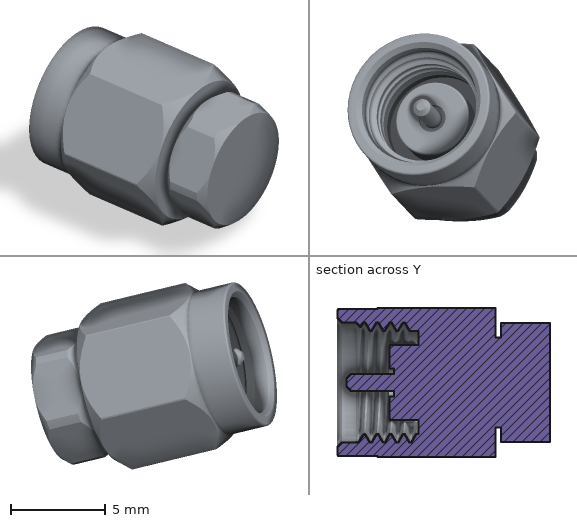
import cadquery as cq
import math

overall_length = 11.3
big_hex_start = 2.12
big_hex_end = 8.41
small_hex_start = 8.67

collar_radius = 3.92
collar_edge_radius = 0.11
big_hex_flats = 7.94
big_hex_corner_radius = 9.12 / 2
small_hex_flats = 6.36
small_hex_corner_radius = 3.54
neck_radius = 2.42
hex_sides = 6
hex_half_sector = 180 / hex_sides
hex_bevel_angle = 40.0
big_hex_bevel_start_radius = 3.93
small_hex_bevel_start_radius = small_hex_flats / 2

mouth_radius = 3.42
bore_radius = 3.18
thread_root_radius = 3.16
thread_crest_radius = 2.72
mouth_bevel_length = mouth_radius - bore_radius
thread_bevel_start = 1.0
thread_bevel_end = thread_bevel_start + bore_radius - thread_crest_radius
socket_floor = 4.29

thread_pitch = 0.7
thread_half_angle = 30.0
thread_crest_flat = 0.09
thread_start = 0.56
thread_start_angle = 97.0
thread_length = 3.39
thread_overlap = 0.01

boss_radius = 2.01
boss_edge_radius = 0.1
boss_face = 2.77
pin_hole_radius = 0.73
pin_hole_depth = 0.23
pin_radius = 0.47
pin_tip_radius = 0.23
pin_tip = 0.47
pin_tip_length = 0.25


def revolve_profile(points):
    """Turn an (axial, radial) outline about the X axis."""
    return cq.Workplane("XY").polyline(points).close().revolve(360, (0, 0, 0), (1, 0, 0))


def cylinder(start, end, radius):
    return cq.Workplane("YZ").workplane(offset=start).circle(radius).extrude(end - start)


def bevelled_hex(start, end, flats, corner_radius, bevel_start_radius):
    """Hexagon with corners on Y, trimmed by a cylinder and a cone at each end."""
    corner_to_corner = flats / math.cos(math.radians(hex_half_sector))
    prism = (
        cq.Workplane("YZ")
        .workplane(offset=start)
        .polygon(hex_sides, corner_to_corner)
        .extrude(end - start)
    )
    bevel_length = (corner_radius - bevel_start_radius) / math.tan(math.radians(hex_bevel_angle))
    envelope = revolve_profile([
        (start, 0),
        (start, bevel_start_radius),
        (start + bevel_length, corner_radius),
        (end - bevel_length, corner_radius),
        (end, bevel_start_radius),
        (end, 0),
    ])
    return prism.intersect(envelope)


def outer_body():
    collar = cylinder(0, big_hex_start, collar_radius).faces("<X").edges().fillet(collar_edge_radius)
    big_hex = bevelled_hex(
        big_hex_start, big_hex_end, big_hex_flats, big_hex_corner_radius, big_hex_bevel_start_radius
    )
    neck = cylinder(big_hex_end, small_hex_start, neck_radius)
    small_hex = bevelled_hex(
        small_hex_start,
        overall_length,
        small_hex_flats,
        small_hex_corner_radius,
        small_hex_bevel_start_radius,
    )
    return collar.union(big_hex).union(neck).union(small_hex)


def socket():
    return revolve_profile([
        (0, 0),
        (0, mouth_radius),
        (mouth_bevel_length, bore_radius),
        (thread_bevel_start, bore_radius),
        (thread_bevel_end, thread_crest_radius),
        (socket_floor, thread_crest_radius),
        (socket_floor, 0),
    ])


def thread_groove():
    """Helical V-groove, wound about Z and then laid along X."""
    flank_slope = math.tan(math.radians(thread_half_angle))
    inner_radius = thread_crest_radius - thread_overlap
    crest_half_width = (thread_pitch - thread_crest_flat) / 2
    inner_half_width = crest_half_width + thread_overlap * flank_slope
    root_half_width = crest_half_width - (thread_root_radius - thread_crest_radius) * flank_slope
    helix = cq.Wire.makeHelix(thread_pitch, thread_length, thread_crest_radius)
    groove = (
        cq.Workplane("XZ")
        .polyline([
            (inner_radius, -inner_half_width),
            (thread_root_radius, -root_half_width),
            (thread_root_radius, root_half_width),
            (inner_radius, inner_half_width),
        ])
        .close()
        .sweep(cq.Workplane(helix), isFrenet=True)
    )
    groove = groove.rotate((0, 0, 0), (0, 1, 0), 90)
    return groove.rotate((0, 0, 0), (1, 0, 0), thread_start_angle).translate((thread_start, 0, 0))


def boss():
    body = cylinder(boss_face, socket_floor, boss_radius).faces("<X").edges().fillet(boss_edge_radius)
    return body.cut(cylinder(boss_face, boss_face + pin_hole_depth, pin_hole_radius))


def centre_pin():
    pin_root = boss_face + pin_hole_depth
    return revolve_profile([
        (pin_tip, 0),
        (pin_tip, pin_tip_radius),
        (pin_tip + pin_tip_length, pin_radius),
        (pin_root, pin_radius),
        (pin_root, 0),
    ])


result = outer_body().cut(socket()).cut(thread_groove()).union(boss()).union(centre_pin())